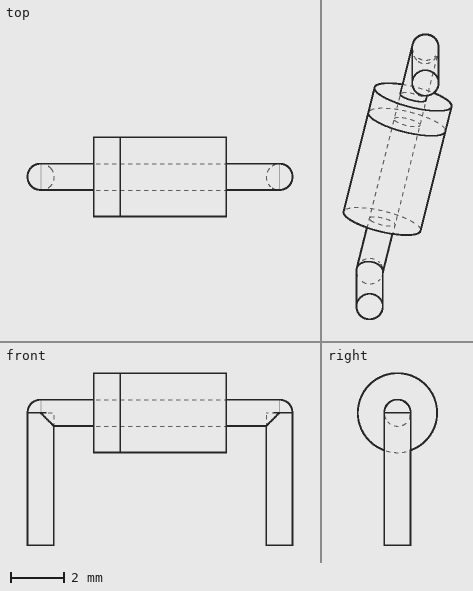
import cadquery as cq

wire_diameter = 1.0
wire_radius = wire_diameter / 2
overall_length = 10.0
leg_length = 5.0
leg_offset = overall_length / 2 - wire_radius

package_diameter = 3.0
package_length = 5.0
band_length = 1.0
package_end = package_length / 2
band_end = band_length - package_end


def cylinder_along_x(diameter, start, end):
    """Solid cylinder on the X axis between two X positions."""
    return cq.Workplane("YZ", origin=(start, 0, 0)).circle(diameter / 2).extrude(end - start)


def package_section(start, end):
    """Length of the package, bored through for the axial wire."""
    bore = cylinder_along_x(wire_diameter, start, end)
    return cylinder_along_x(package_diameter, start, end).cut(bore)


def make_leg(x):
    """Vertical leg with a flat top at the height of the wire axis."""
    return cq.Workplane("XY", origin=(x, 0, 0)).circle(wire_radius).extrude(-leg_length)


def make_axial_wire(legs):
    """Through wire with ball ends, cut away where the legs fit against it."""
    wire = cylinder_along_x(wire_diameter, -leg_offset, leg_offset)
    for side in (-1, 1):
        ball = cq.Workplane("XY", origin=(side * leg_offset, 0, 0)).sphere(wire_radius)
        wire = wire.union(ball)
    for leg in legs:
        wire = wire.cut(leg)
    return wire


band = package_section(-package_end, band_end)
main_body = package_section(band_end, package_end)
legs = [make_leg(side * leg_offset) for side in (-1, 1)]
axial_wire = make_axial_wire(legs)

result = cq.Compound.makeCompound([
    band.val(),
    main_body.val(),
    axial_wire.val(),
    *[leg.val() for leg in legs],
])